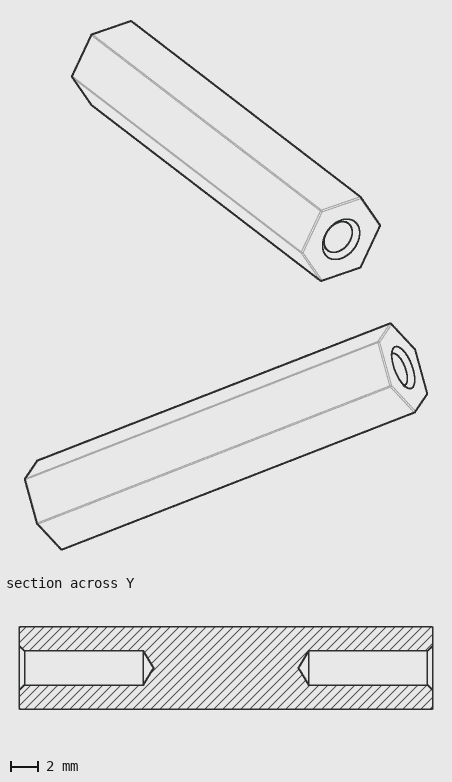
import cadquery as cq
import math

length = 30
across_flats = 6
across_corners = across_flats / math.cos(math.radians(30))
edge_radius = 0.1

hole_diameter = 2.45
hole_depth = 9
mouth_diameter = 3.25
tip_angle = 118


def hexagonal_body():
    blank = cq.Workplane("YZ").polygon(6, across_corners).extrude(length / 2, both=True)
    return blank.edges().fillet(edge_radius)


def hole_cutter():
    """Countersunk blind hole with a drill-point tip, entering the -X end."""
    hole_radius = hole_diameter / 2
    mouth_radius = mouth_diameter / 2
    entry = -length / 2
    sink_end = entry + mouth_radius - hole_radius
    bottom = entry + hole_depth
    tip = bottom + hole_radius / math.tan(math.radians(tip_angle / 2))
    profile = [
        (entry, 0),
        (entry, mouth_radius),
        (sink_end, hole_radius),
        (bottom, hole_radius),
        (tip, 0),
    ]
    return cq.Workplane("XY").polyline(profile).close().revolve(360, (0, 0, 0), (1, 0, 0))


near_hole = hole_cutter()
far_hole = near_hole.mirror("YZ")
result = hexagonal_body().cut(near_hole).cut(far_hole)